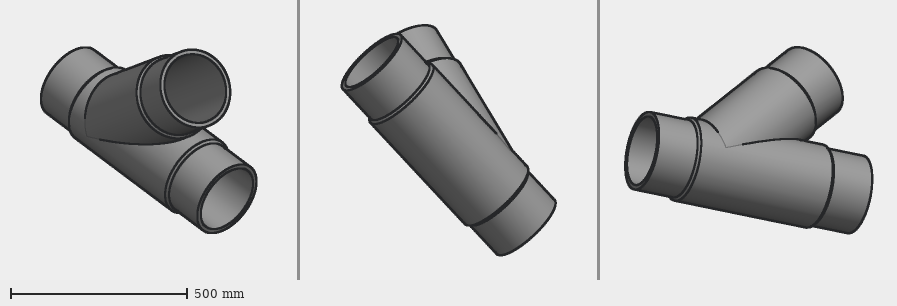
import cadquery as cq

run_length = 670.0
spigot_length = 120.5
body_diameter = 241.0
spigot_diameter = 225.0
bore_diameter = 198.0
branch_angle = 45.0
branch_length = 464.0
crossing_x = 206.5

step_height = (body_diameter - spigot_diameter) / 2

run_plane = cq.Plane(origin=(0, 0, 0), xDir=(0, 1, 0), normal=(1, 0, 0))
branch_plane = cq.Plane(
    origin=(crossing_x, 0, 0), xDir=(0, 1, 0), normal=(1, 0, 0)
).rotated((-branch_angle, 0, 0))


def cylinder(plane, diameter, length, start=0.0):
    """Cylinder along the plane normal, starting at the given distance."""
    return cq.Workplane(plane).workplane(offset=start).circle(diameter / 2).extrude(length)


def make_run():
    """Thin pipe with a thick body whose two ends are chamfered down to the pipe."""
    body = cylinder(run_plane, body_diameter, run_length - 2 * spigot_length, spigot_length)
    body = body.faces("<X or >X").chamfer(step_height)
    return body.union(cylinder(run_plane, spigot_diameter, run_length))


def make_branch():
    """Thick body from the axis crossing, chamfered at its outer end, then the thin pipe."""
    body = cylinder(branch_plane, body_diameter, branch_length - spigot_length)
    body = body.faces(">Z").chamfer(step_height)
    return body.union(cylinder(branch_plane, spigot_diameter, branch_length))


run_bore = cylinder(run_plane, bore_diameter, run_length)
branch_bore = cylinder(branch_plane, bore_diameter, branch_length)

result = make_run().union(make_branch()).cut(run_bore).cut(branch_bore)